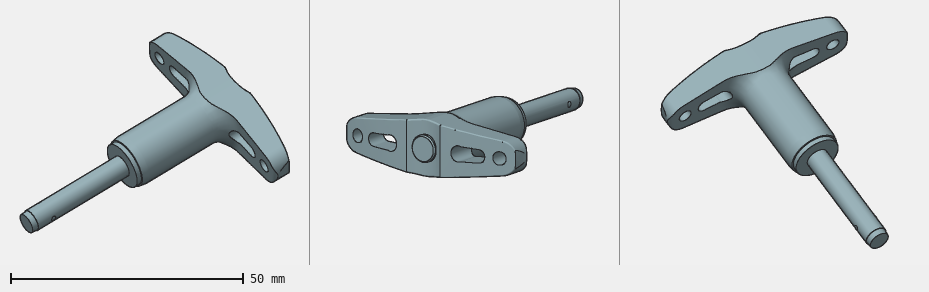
import cadquery as cq
import math


pin_radius = 2.5
pin_length = 26.0
pin_tip_length = 1.4
pin_tip_shoulder_radius = 2.4
pin_tip_radius = 2.25
ball_radius = 1.0
ball_reach = 2.67
ball_y = -20.5

collar_radius = 5.3
collar_height = 1.15
body_radius = 5.9
body_rim_radius = 5.65
body_rim_end_y = 2.9
body_rim_bulge = 0.07
neck_start_y = 20.6
neck_fillet_radius = 4.05

half_thickness = 6.32
half_flat_width = 0.75
end_center_x = 18.66
end_radius = 3.95

half_width = 22.6
widest_y = 25.0
end_top_x = 22.1
end_top_y = 28.45
crest_x = 4.35
crest_y = 31.4
arm_mid_x = 10.6
arm_mid_y = 30.85
valley_y = 30.45
grip_corner_x = 21.5
grip_slope = math.radians(2.4)
corner_bulge = 0.3
top_edge_radius = 0.3

hole_x = 18.55
hole_radius = 1.5
slot_outer_x = 13.7
slot_outer_radius = 1.5
slot_inner_x = 8.9
slot_inner_radius = 1.8
slot_inner_half_height = 1.7

button_radius = 3.05
button_top_y = 31.6
button_bevel_width = 0.3
button_bevel_height = 0.4
button_base_y = 28.0

cut_length = 40.0
edge_tolerance = 0.1


def revolve_about_pin(outline):
    """Turn a closed (radius, y) outline around the Y axis."""
    return outline.close().revolve(360, (0, 0, 0), (0, 1, 0))


def prism_along_pin(outline, start_y, end_y):
    """Extrude a closed outline drawn in X and Z from start_y to end_y."""
    return outline.close().extrude(-(end_y - start_y)).translate((0, start_y, 0))


def make_handle_prism():
    """Tapered outline with round ends, reaching down to the start of the neck fillet."""
    run = end_center_x - half_flat_width
    distance = math.hypot(run, half_thickness)
    touch_angle = math.atan2(half_thickness, -run) - math.acos(end_radius / distance)
    touch_x = end_center_x + end_radius * math.cos(touch_angle)
    touch_z = end_radius * math.sin(touch_angle)
    end_x = end_center_x + end_radius
    outline = (
        cq.Workplane("XZ")
        .moveTo(-half_flat_width, half_thickness)
        .lineTo(half_flat_width, half_thickness)
        .lineTo(touch_x, touch_z)
        .threePointArc((end_x, 0), (touch_x, -touch_z))
        .lineTo(half_flat_width, -half_thickness)
        .lineTo(-half_flat_width, -half_thickness)
        .lineTo(-touch_x, -touch_z)
        .threePointArc((-end_x, 0), (-touch_x, touch_z))
    )
    return prism_along_pin(outline, neck_start_y, button_top_y)


def make_arched_slab():
    """Slab whose upper side forms the arched arms and the centre valley."""
    outline = (
        cq.Workplane("XY")
        .moveTo(-crest_x, crest_y)
        .threePointArc((0, valley_y), (crest_x, crest_y))
        .threePointArc((arm_mid_x, arm_mid_y), (end_top_x, end_top_y))
        .lineTo(half_width, end_top_y)
        .lineTo(half_width, neck_start_y)
        .lineTo(-half_width, neck_start_y)
        .lineTo(-half_width, end_top_y)
        .lineTo(-end_top_x, end_top_y)
        .threePointArc((-arm_mid_x, arm_mid_y), (-crest_x, crest_y))
        .close()
    )
    return outline.extrude(2 * half_thickness, both=True)


def make_underside_disc():
    """Turned blank with the neck fillet, the conical underside and the slanted rim."""
    arc_center_x = body_radius + neck_fillet_radius
    arc_end_x = arc_center_x + neck_fillet_radius * math.sin(grip_slope)
    arc_end_y = neck_start_y + neck_fillet_radius * math.cos(grip_slope)
    arc_mid_x = arc_center_x - neck_fillet_radius * math.cos(math.pi / 4)
    arc_mid_y = neck_start_y + neck_fillet_radius * math.sin(math.pi / 4)
    grip_corner_y = arc_end_y - (grip_corner_x - arc_end_x) * math.tan(grip_slope)
    corner_mid = (half_width - corner_bulge, grip_corner_y + corner_bulge)
    rim_lean = (half_width - end_top_x) / (end_top_y - widest_y)
    rim_top_x = half_width - rim_lean * (button_top_y - widest_y)
    return revolve_about_pin(
        cq.Workplane("XY")
        .moveTo(0, neck_start_y)
        .lineTo(body_radius, neck_start_y)
        .threePointArc((arc_mid_x, arc_mid_y), (arc_end_x, arc_end_y))
        .lineTo(grip_corner_x, grip_corner_y)
        .threePointArc(corner_mid, (half_width, widest_y))
        .lineTo(rim_top_x, button_top_y)
        .lineTo(0, button_top_y)
    )


def make_handle():
    """Turned blank trimmed by the arched slab and the tapered outline, upper edges rounded."""
    handle = make_underside_disc().intersect(make_arched_slab()).intersect(make_handle_prism())
    upper_side_edges = [
        edge for edge in handle.edges().vals()
        if edge.BoundingBox().ymin > end_top_y - edge_tolerance
        and abs(edge.Center().z) > end_radius / 2
    ]
    return handle.newObject(upper_side_edges).fillet(top_edge_radius)


def make_arm_openings(side):
    """Round hole and keyhole slot through one arm; side is +1 or -1."""
    round_hole = cq.Workplane("XZ").center(side * hole_x, 0).circle(hole_radius).extrude(-cut_length)
    slot_eye = (
        cq.Workplane("XZ").center(side * slot_inner_x, 0).circle(slot_inner_radius).extrude(-cut_length)
    )
    slot_end_x = slot_outer_x + slot_outer_radius
    slot = (
        cq.Workplane("XZ")
        .moveTo(side * slot_inner_x, slot_inner_half_height)
        .lineTo(side * slot_outer_x, slot_outer_radius)
        .threePointArc((side * slot_end_x, 0), (side * slot_outer_x, -slot_outer_radius))
        .lineTo(side * slot_inner_x, -slot_inner_half_height)
    )
    return round_hole.union(slot_eye).union(prism_along_pin(slot, 0, cut_length))


def make_shank():
    """Pin with stepped tip, collar and cylindrical body."""
    rim_mid = (body_radius - body_rim_bulge, (collar_height + body_rim_end_y) / 2)
    tip_y = pin_tip_length - pin_length
    return revolve_about_pin(
        cq.Workplane("XY")
        .moveTo(0, -pin_length)
        .lineTo(pin_tip_radius, -pin_length)
        .lineTo(pin_tip_shoulder_radius, tip_y)
        .lineTo(pin_radius, tip_y)
        .lineTo(pin_radius, 0)
        .lineTo(collar_radius, 0)
        .lineTo(collar_radius, collar_height)
        .lineTo(body_rim_radius, collar_height)
        .threePointArc(rim_mid, (body_radius, body_rim_end_y))
        .lineTo(body_radius, neck_start_y)
        .lineTo(0, neck_start_y)
    )


def make_button():
    """Release button with a bevelled rim, seated in the valley."""
    return revolve_about_pin(
        cq.Workplane("XY")
        .moveTo(0, button_base_y)
        .lineTo(button_radius, button_base_y)
        .lineTo(button_radius, button_top_y - button_bevel_height)
        .lineTo(button_radius - button_bevel_width, button_top_y)
        .lineTo(0, button_top_y)
    )


def make_locking_ball(side):
    """Ball that stands slightly proud of the pin on one side."""
    ball_x = side * (ball_reach - ball_radius)
    return cq.Workplane("XY").sphere(ball_radius).translate((ball_x, ball_y, 0))


result = make_handle().union(make_shank()).union(make_button())
for side in (-1, 1):
    result = result.cut(make_arm_openings(side))
    result = result.union(make_locking_ball(side))